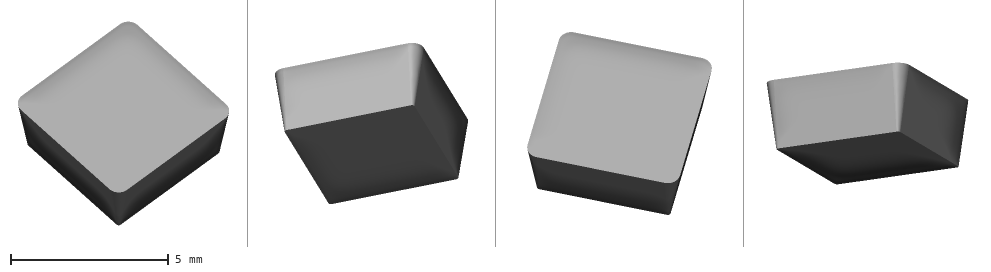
import cadquery as cq

top_side = 5.0
height = 2.2
top_corner_radius = 0.4
side_draft_angle = 8.0

top_outline = cq.Sketch().rect(top_side, top_side).vertices().fillet(top_corner_radius)

result = (
    cq.Workplane("XY")
    .workplane(offset=height)
    .placeSketch(top_outline)
    .extrude(-height, taper=side_draft_angle)
)